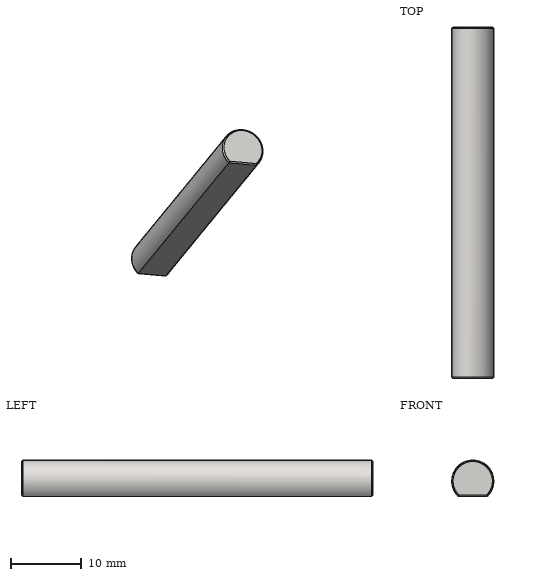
import cadquery as cq

SHAFT_DIAMETER = 6.0
SHAFT_LENGTH = 50.0
HEIGHT_OVER_FLAT = 5.2
END_CHAMFER = 0.2

SHAFT_RADIUS = SHAFT_DIAMETER / 2
FLAT_Z = SHAFT_RADIUS - HEIGHT_OVER_FLAT
FLAT_HALF_WIDTH = (SHAFT_RADIUS**2 - FLAT_Z**2) ** 0.5


def d_shaft():
    """Round shaft along Y, with a flat on its underside over the full length."""
    profile = (
        cq.Workplane("XZ")
        .moveTo(-FLAT_HALF_WIDTH, FLAT_Z)
        .threePointArc((0, SHAFT_RADIUS), (FLAT_HALF_WIDTH, FLAT_Z))
        .close()
    )
    return profile.extrude(SHAFT_LENGTH / 2, both=True)


result = d_shaft().faces("<Y or >Y").edges().chamfer(END_CHAMFER)